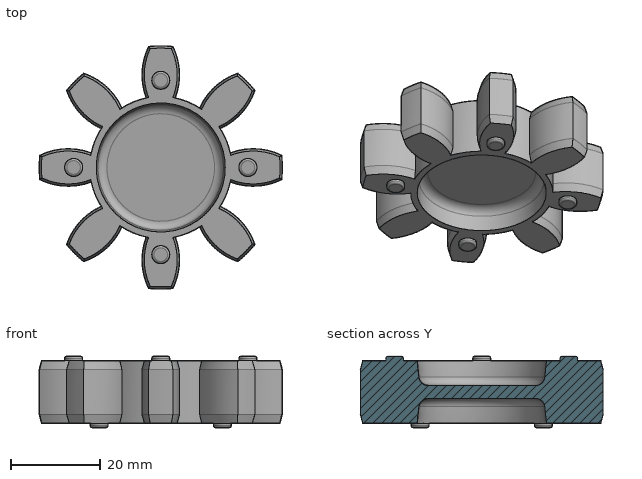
import cadquery as cq
import math

overall_height = 16.0
body_height = 14.0
hub_radius = 15.9

tooth_count = 8
tip_radius = 27.25
tooth_width = 8.45
widest_radius = 20.7
flank_radius = 14.4
root_radius = 13.1
bevel_height = 2.0
bevel_angle = 15.0

recess_depth = 5.5
recess_radius = 14.45
recess_draft = 6.0
recess_fillet = 2.0

pin_radius = 2.0
pin_height = (overall_height - body_height) / 2
pin_fillet = 0.5
pin_circle_radius = 19.5

half_height = body_height / 2
tooth_pitch = 360 / tooth_count
tooth_half_width = tooth_width / 2


def flank_half_width(x):
    """Half the tooth width at distance x along the tooth centre line."""
    arc_height = math.sqrt(flank_radius**2 - (x - widest_radius) ** 2)
    return tooth_half_width - flank_radius + arc_height


def tip_corner_x():
    """Distance along the tooth where a flank arc meets the tip cylinder."""
    flank_centre_y = tooth_half_width - flank_radius
    distance = math.hypot(widest_radius, flank_centre_y)
    cos_angle = (tip_radius**2 + distance**2 - flank_radius**2) / (2 * tip_radius * distance)
    angle = math.atan2(flank_centre_y, widest_radius) + math.acos(cos_angle)
    return tip_radius * math.cos(angle)


def tooth_outline(z):
    """Barrel-shaped outline of the tooth that points along +X."""
    corner_x = tip_corner_x()
    corner_y = flank_half_width(corner_x)
    root_y = flank_half_width(root_radius)
    return (
        cq.Workplane("XY", origin=(0, 0, z))
        .moveTo(root_radius, -root_y)
        .threePointArc((widest_radius, -tooth_half_width), (corner_x, -corner_y))
        .threePointArc((tip_radius, 0), (corner_x, corner_y))
        .threePointArc((widest_radius, tooth_half_width), (root_radius, root_y))
        .close()
    )


def make_tooth():
    """One tooth, bevelled all round towards its top and bottom faces."""
    straight_half = half_height - bevel_height
    middle = tooth_outline(-straight_half).extrude(2 * straight_half)
    bevel = tooth_outline(straight_half).extrude(bevel_height, taper=bevel_angle)
    return middle.union(bevel).union(bevel.mirror("XY"))


def make_recess():
    """Round recess in the top face: drafted wall with a filleted floor edge."""
    floor_radius = recess_radius - recess_depth * math.tan(math.radians(recess_draft))
    return (
        cq.Workplane("XZ")
        .moveTo(0, half_height)
        .lineTo(recess_radius, half_height)
        .lineTo(floor_radius, half_height - recess_depth)
        .lineTo(0, half_height - recess_depth)
        .close()
        .revolve(360, (0, 0, 0), (0, 1, 0))
        .faces("<Z")
        .edges()
        .fillet(recess_fillet)
    )


def make_pin():
    """Round-edged pin standing on the top face of the tooth along +X."""
    return (
        cq.Workplane("XY", origin=(pin_circle_radius, 0, half_height))
        .circle(pin_radius)
        .extrude(pin_height)
        .faces(">Z")
        .edges()
        .fillet(pin_fillet)
    )


def about_axis(shape, angle):
    """Copy of the shape turned about the part axis."""
    return shape.rotate((0, 0, 0), (0, 0, 1), angle)


body = cq.Workplane("XY", origin=(0, 0, -half_height)).circle(hub_radius).extrude(body_height)

tooth = make_tooth()
for index in range(tooth_count):
    body = body.union(about_axis(tooth, index * tooth_pitch))

recess = make_recess()
body = body.cut(recess).cut(recess.mirror("XY"))

top_pin = make_pin()
bottom_pin = top_pin.mirror("XY")
for index in range(tooth_count):
    pin = top_pin if index % 2 == 0 else bottom_pin
    body = body.union(about_axis(pin, index * tooth_pitch))

result = body